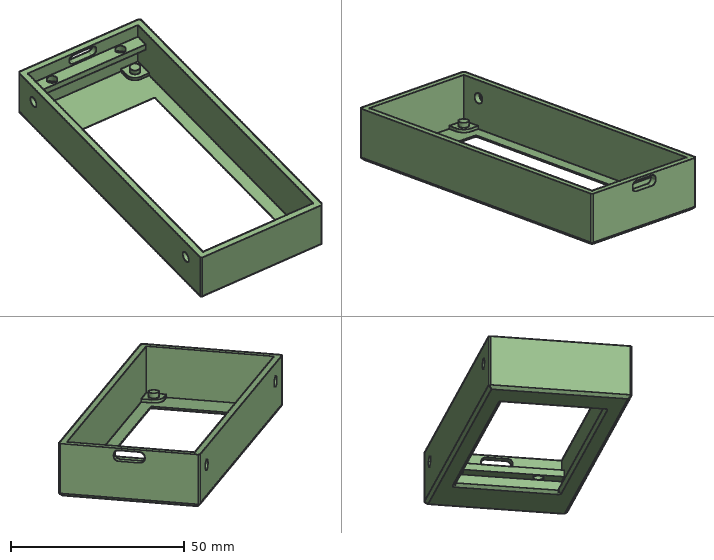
import cadquery as cq
length = 96.0
width = 42.0
height = 16.0
wall = 2.0
floor_thickness = 1.0
bottom_chamfer = 1.0
corner_chamfer = 0.5

inner_length = length - 2 * wall
inner_width = width - 2 * wall

window_length = 68.1
window_width = 30.0
window_center_x = 2.9

pad_size = 6.0
pad_height = 1.0
pad_radius = 3.0
peg_diameter = 3.1
peg_height = 1.5
peg_inset = 3.0

shelf_width = 4.0
shelf_top = 11.5
shelf_thickness = 2.0
shelf_hole_diameter = 3.1
shelf_hole_spacing = 23.6
shelf_hole_inset = 1.8

side_hole_diameter = 3.2
side_hole_spacing = 80.0
side_hole_z = 10.5

slot_length = 9.3
slot_height = 3.3
slot_radius = 1.5
slot_center_z = 13.7


def make_case():
    body = cq.Workplane("XY").box(length, width, height, centered=(True, True, False))
    body = body.faces("<Z").edges().chamfer(bottom_chamfer)
    corner_trim = cq.Workplane("XY").rect(length, width).extrude(height)
    body = body.intersect(corner_trim.edges("|Z").chamfer(corner_chamfer))
    cavity = cq.Workplane("XY").workplane(offset=floor_thickness).box(
        inner_length, inner_width, height, centered=(True, True, False)
    )
    window = (
        cq.Workplane("XY", origin=(window_center_x, 0, floor_thickness))
        .rect(window_length, window_width)
        .extrude(-floor_thickness, taper=-45)
    )
    return body.cut(cavity).cut(window)


def make_corner_pad(side_x, side_y):
    """Pad in one inner corner, rounded toward the middle of the case."""
    corner_x = side_x * inner_length / 2
    corner_y = side_y * inner_width / 2
    inward_edge = ("<X" if side_x > 0 else ">X") + " and " + ("<Y" if side_y > 0 else ">Y")
    pad = (
        cq.Workplane("XY", origin=(0, 0, floor_thickness))
        .center(corner_x - side_x * pad_size / 2, corner_y - side_y * pad_size / 2)
        .rect(pad_size, pad_size)
        .extrude(pad_height)
        .edges("|Z")
        .edges(inward_edge)
        .fillet(pad_radius)
    )
    peg = (
        cq.Workplane("XY", origin=(0, 0, floor_thickness))
        .center(corner_x - side_x * peg_inset, corner_y - side_y * peg_inset)
        .circle(peg_diameter / 2)
        .extrude(pad_height + peg_height)
    )
    return pad.union(peg)


def make_shelf():
    shelf_bottom = shelf_top - shelf_thickness
    return cq.Workplane("XY", origin=(-inner_length / 2, 0, shelf_bottom)).box(
        shelf_width, inner_width, shelf_thickness, centered=(False, True, False)
    )


def make_shelf_holes():
    return (
        cq.Workplane("XY", origin=(shelf_hole_inset - inner_length / 2, 0, shelf_top))
        .rarray(1, shelf_hole_spacing, 1, 2)
        .circle(shelf_hole_diameter / 2)
        .extrude(-shelf_thickness)
    )


def make_side_holes():
    """Pair of holes through the -Y wall only."""
    wall_center_y = (wall - width) / 2
    return (
        cq.Workplane("XZ", origin=(0, wall_center_y, side_hole_z))
        .rarray(side_hole_spacing, 1, 2, 1)
        .circle(side_hole_diameter / 2)
        .extrude(wall / 2, both=True)
    )


def make_slot():
    return (
        cq.Workplane("XY", origin=((wall - length) / 2, 0, slot_center_z))
        .box(wall, slot_length, slot_height)
        .edges("|X")
        .fillet(slot_radius)
    )


result = make_case()
for y_sign in (-1, 1):
    for x_sign in (-1, 1):
        result = result.union(make_corner_pad(x_sign, y_sign))
result = result.union(make_shelf()).cut(make_shelf_holes())
result = result.cut(make_side_holes())
result = result.cut(make_slot())